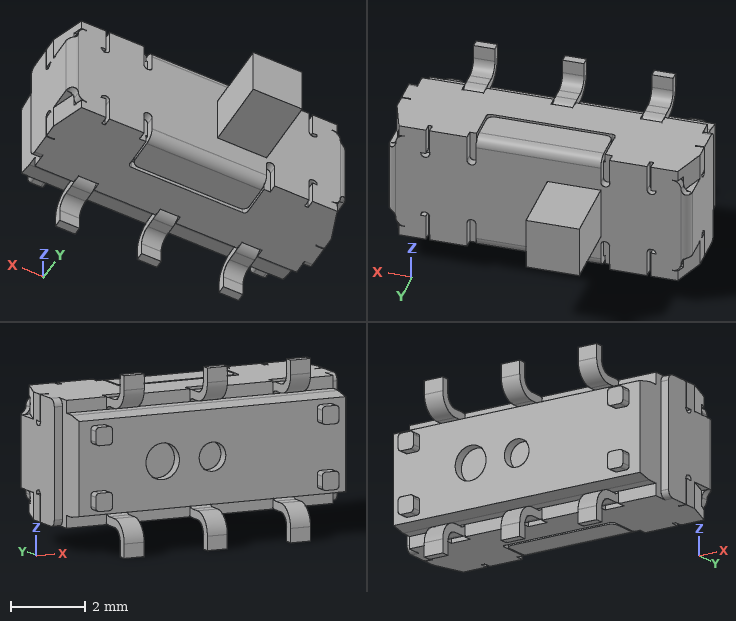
import cadquery as cq
import math


length = 8.5
overall_depth = 5.5
overall_height = 5.0
sheet = 0.25

half_length = length / 2
core_half_length = half_length - sheet
half_height = 3.5 / 2
standoff = 0.3
back_y = 3.5
taper_end_y = 0.75
base_half_height = 1.4
taper_end_half_height = 1.39
base_face_half_height = 1.3

flange_y = 1.3
flange_radius = 0.2
shoulder_y = flange_y - sheet
corner_cut_x = 0.34
corner_cut_y = 0.95
relief_depth = 0.75
end_plate_half_height = half_height - relief_depth

ear_inner_radius = 0.195
ear_outer_radius = sheet
ear_neck_z = end_plate_half_height + ear_inner_radius
ear_top_z = ear_neck_z + ear_outer_radius

relief_hole = 0.25
end_slot_y = 2.13
end_slot_width = 0.025
back_slot_x = 3.05
back_slot_width = 0.1

tab_half_length = 1.75
tab_front_y = 2.35
tab_bend_radius = 0.3
tab_corner_radius = 0.2
window_half_length = 1.8
window_front_y = 2.25
window_corner_radius = 0.1

post_size = 0.5
post_x = 3.4
post_z = 0.9
post_corner_radius = 0.1
large_hole_diameter = 1.0
large_hole_x = -1.5
small_hole_diameter = 0.8
hole_depth = 0.3

terminal_pitch = 2.5
terminal_width = 0.6
foot_bend_radius = 0.35
root_bend_radius = 0.4

diagonal = math.sqrt(0.5)

knob_size = 1.5
knob_x = -1.0


def block(x_min, x_max, y_min, y_max, z_min, z_max):
    size = (x_max - x_min, y_max - y_min, z_max - z_min)
    return cq.Workplane("XY").box(*size, centered=False).translate((x_min, y_min, z_min))


def both_faces(top_shape):
    """The shape together with its mirror image on the bottom face."""
    return top_shape.union(top_shape.mirror("XY"))


def both_ends(end_shape):
    """The shape together with its mirror image at the other end."""
    return end_shape.union(end_shape.mirror("YZ"))


def make_core():
    """Stepped and tapered base that carries on into the full housing height."""
    half_outline = [
        (standoff, base_face_half_height),
        (taper_end_y, taper_end_half_height),
        (shoulder_y, base_half_height),
        (shoulder_y, half_height),
        (flange_y + flange_radius, half_height),
    ]
    outline = half_outline + [(y, -z) for y, z in reversed(half_outline)]
    return cq.Workplane("YZ").polyline(outline).close().extrude(core_half_length, both=True)


def make_cover():
    """Full-height part of the housing, with the slanted back corners."""
    outline = [
        (-half_length, flange_y),
        (half_length, flange_y),
        (half_length, back_y - corner_cut_y),
        (half_length - corner_cut_x, back_y),
        (-half_length + corner_cut_x, back_y),
        (-half_length, back_y - corner_cut_y),
    ]
    cover = cq.Workplane("XY").polyline(outline).close().extrude(half_height, both=True)
    return cover.faces("<Y").edges("|X").fillet(flange_radius)


def make_end_bends():
    """End plates bent into the back plate, whose edge flares out to meet them."""
    inner_corner = core_half_length + ear_inner_radius
    outer_corner = core_half_length - ear_outer_radius
    ear_outline = (
        cq.Workplane("XZ", origin=(0, back_y, 0))
        .moveTo(0, 0)
        .lineTo(half_length, 0)
        .lineTo(half_length, end_plate_half_height)
        .lineTo(inner_corner, end_plate_half_height)
        .threePointArc(
            (inner_corner - ear_inner_radius * diagonal, ear_neck_z - ear_inner_radius * diagonal),
            (core_half_length, ear_neck_z),
        )
        .threePointArc(
            (outer_corner + ear_outer_radius * diagonal, ear_neck_z + ear_outer_radius * diagonal),
            (outer_corner, ear_top_z),
        )
        .lineTo(0, ear_top_z)
        .close()
    )
    back_plate = both_ends(both_faces(ear_outline.extrude(sheet)))
    end_plates = block(
        -half_length, half_length,
        back_y - corner_cut_y, back_y - sheet,
        -end_plate_half_height, end_plate_half_height,
    )
    rounded_plan = block(
        -half_length, half_length, flange_y, back_y, -half_height, half_height
    ).faces(">Y").edges("|Z").fillet(sheet)
    return back_plate.union(end_plates).intersect(rounded_plan)


def make_corner_notches():
    """Clearance in the slanted corners, one sheet deep, that leaves room for the ears."""
    notch = block(
        core_half_length - ear_outer_radius, half_length,
        back_y - sheet, back_y,
        end_plate_half_height, ear_top_z,
    )
    return both_ends(both_faces(notch))


def make_relief(plane, start, slot_width):
    """Slot from the top face that ends in a half-round hole, cut one sheet deep."""
    slot = (
        plane.moveTo(start, half_height)
        .lineTo(start, end_plate_half_height)
        .lineTo(start + slot_width, end_plate_half_height)
        .lineTo(start + slot_width, half_height)
        .close()
        .extrude(sheet)
    )
    hole_radius = relief_hole / 2
    hole = (
        plane.moveTo(start, end_plate_half_height)
        .threePointArc(
            (start + hole_radius, end_plate_half_height - hole_radius),
            (start + relief_hole, end_plate_half_height),
        )
        .close()
        .extrude(sheet)
    )
    return slot.union(hole)


def make_reliefs():
    end_plane = cq.Workplane("YZ", origin=(core_half_length, 0, 0))
    back_plane = cq.Workplane("XZ", origin=(0, back_y, 0))
    end_relief = make_relief(end_plane, end_slot_y, end_slot_width)
    back_relief = make_relief(back_plane, back_slot_x, back_slot_width)
    tab_relief = make_relief(back_plane, tab_half_length, relief_hole)
    return both_ends(both_faces(end_relief.union(back_relief).union(tab_relief)))


def make_tab_gaps():
    """U-shaped gap around each tab, and the round where the tab bends into the back plate."""
    z_min = half_height - sheet
    window = block(
        -window_half_length, window_half_length, window_front_y, back_y - sheet, z_min, half_height
    ).faces("<Y").edges("|Z").fillet(window_corner_radius)
    tab = block(
        -tab_half_length, tab_half_length, tab_front_y, back_y, z_min, half_height
    ).faces("<Y").edges("|Z").fillet(tab_corner_radius)
    bend_corner = block(
        -tab_half_length, tab_half_length,
        back_y - tab_bend_radius, back_y,
        half_height - tab_bend_radius, half_height,
    )
    bend = (
        cq.Workplane("YZ", origin=(-tab_half_length, 0, 0))
        .center(back_y - tab_bend_radius, half_height - tab_bend_radius)
        .circle(tab_bend_radius)
        .extrude(2 * tab_half_length)
    )
    return both_faces(window.cut(tab).union(bend_corner.cut(bend)))


def make_posts():
    return (
        cq.Workplane("XZ")
        .rect(2 * post_x, 2 * post_z, forConstruction=True)
        .vertices()
        .rect(post_size, post_size)
        .extrude(-standoff)
        .edges("|Y")
        .fillet(post_corner_radius)
    )


def make_base_hole(x, diameter):
    plane = cq.Workplane("XZ", origin=(x, standoff, 0))
    return plane.circle(diameter / 2).extrude(-hole_depth)


def make_terminal_pocket(x):
    """Opening in the top face through which a terminal leaves the housing."""
    return block(
        x - terminal_width / 2, x + terminal_width / 2,
        shoulder_y, flange_y,
        half_height - root_bend_radius, half_height,
    )


def make_terminal(x):
    """Strip that bends out of the pocket, runs forward and curls up into a foot."""
    inner_z = half_height - sheet
    foot_z = half_height + foot_bend_radius
    bend_y = sheet + foot_bend_radius
    foot_outer_radius = foot_bend_radius + sheet
    root_inner_radius = root_bend_radius - sheet
    root_y = flange_y - root_bend_radius
    root_z = half_height - root_bend_radius
    profile = (
        cq.Workplane("YZ", origin=(x - terminal_width / 2, 0, 0))
        .moveTo(0, overall_height / 2)
        .lineTo(sheet, overall_height / 2)
        .lineTo(sheet, foot_z)
        .threePointArc(
            (bend_y - foot_bend_radius * diagonal, foot_z - foot_bend_radius * diagonal),
            (bend_y, half_height),
        )
        .lineTo(root_y, half_height)
        .threePointArc(
            (root_y + root_bend_radius * diagonal, root_z + root_bend_radius * diagonal),
            (flange_y, root_z),
        )
        .lineTo(shoulder_y, root_z)
        .threePointArc(
            (root_y + root_inner_radius * diagonal, root_z + root_inner_radius * diagonal),
            (root_y, inner_z),
        )
        .lineTo(bend_y, inner_z)
        .threePointArc(
            (bend_y - foot_outer_radius * diagonal, foot_z - foot_outer_radius * diagonal),
            (0, foot_z),
        )
        .close()
    )
    return profile.extrude(terminal_width)


def make_housing():
    housing = make_core().union(make_cover()).cut(make_corner_notches())
    housing = housing.union(make_end_bends()).union(make_posts())
    housing = housing.cut(make_reliefs()).cut(make_tab_gaps())
    housing = housing.cut(make_base_hole(large_hole_x, large_hole_diameter))
    housing = housing.cut(make_base_hole(0, small_hole_diameter))
    for x in (-terminal_pitch, 0, terminal_pitch):
        housing = housing.cut(both_faces(make_terminal_pocket(x)))
        housing = housing.union(both_faces(make_terminal(x)))
    return housing


def make_knob():
    """Square knob standing on the back plate, in its left-hand position."""
    return block(
        knob_x - knob_size / 2, knob_x + knob_size / 2,
        back_y, overall_depth,
        -knob_size / 2, knob_size / 2,
    )


housing = make_housing()
knob = make_knob()
result = cq.Compound.makeCompound([*housing.solids().vals(), knob.val()])